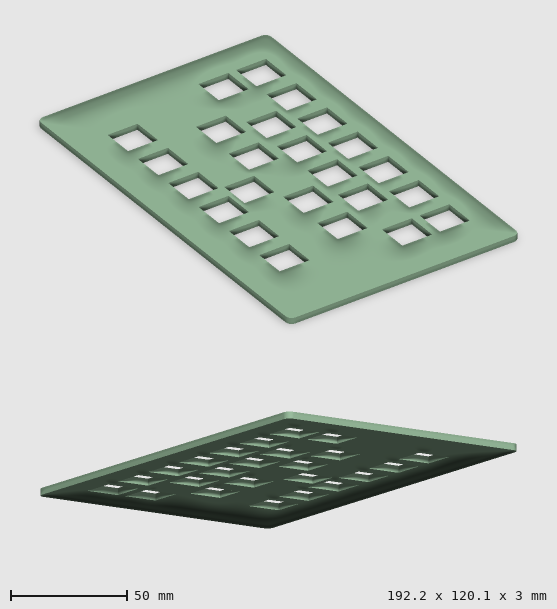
import cadquery as cq

plate_length = 192.2
plate_width = 120.1
plate_thickness = 3.0
corner_radius = 3.0

opening_size = 15.5
key_pitch = 23.3

top_row_count = 7
top_row_start_x = -72.0
top_row_y = 40.4
top_row_end_x = top_row_start_x + (top_row_count - 1) * key_pitch

second_row_count = 4
second_row_start_x = -35.7
second_row_y = 20.8

cluster_center_x = 1.3
outer_pair_offset = 46.1
outer_pair_y = 0.8
inner_pair_offset = 20.8
inner_pair_y = 0.4
single_key_y = -16.1

bottom_row_count = 6
bottom_row_pitch = 23.0
bottom_row_start_x = -61.0
bottom_row_y = -34.2


def key_row(start_x, y, count, pitch):
    """Centres of evenly spaced keys running in +X."""
    return [(start_x + i * pitch, y) for i in range(count)]


def key_pair(center_x, offset, y):
    """Centres of two keys mirrored about center_x."""
    return [(center_x - offset, y), (center_x + offset, y)]


key_centers = (
    key_row(top_row_start_x, top_row_y, top_row_count, key_pitch)
    + key_row(second_row_start_x, second_row_y, second_row_count, key_pitch)
    + [(top_row_start_x, second_row_y), (top_row_end_x, second_row_y)]
    + key_pair(cluster_center_x, outer_pair_offset, outer_pair_y)
    + key_pair(cluster_center_x, inner_pair_offset, inner_pair_y)
    + [(cluster_center_x, single_key_y)]
    + key_row(bottom_row_start_x, bottom_row_y, bottom_row_count, bottom_row_pitch)
)

plate = (
    cq.Workplane("XY")
    .box(plate_length, plate_width, plate_thickness)
    .edges("|Z")
    .fillet(corner_radius)
)

key_openings = (
    cq.Workplane("XY")
    .pushPoints(key_centers)
    .rect(opening_size, opening_size)
    .extrude(plate_thickness, both=True)
)

result = plate.cut(key_openings)